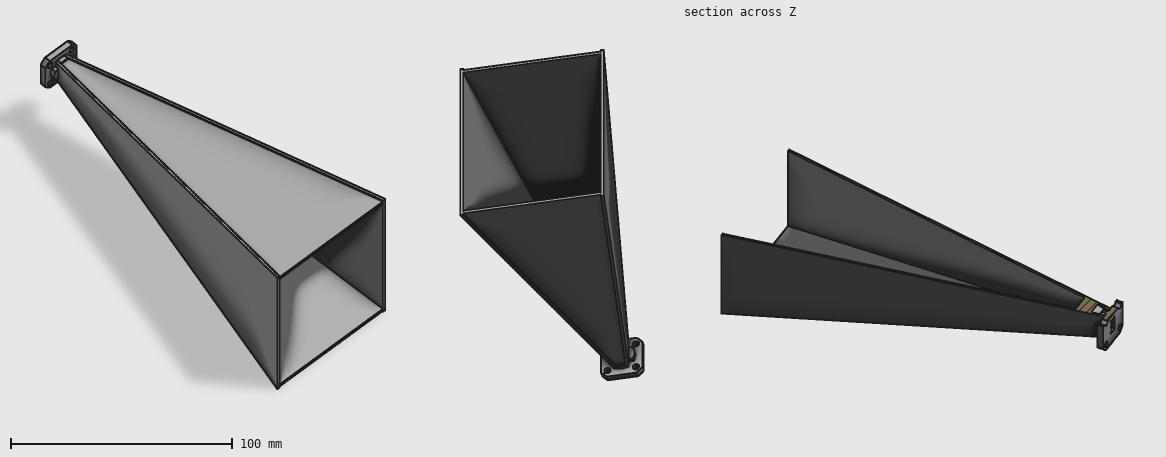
import cadquery as cq

length = 181.9
mouth_width = 66.5
mouth_height = 81.0

flange_size = 19.3
flange_thickness = 3.1
flange_round_diameter = 23.6
hole_diameter = 3.0
hole_spacing_y = 13.3
hole_spacing_z = 12.7

guide_width = 3.8
guide_height = 7.1

throat_width = 6.7
throat_height = 11.8
wall = 1.5
plate_recess = 0.7

pad_length = 2.4
boss_diameter = 13.0
side_pad_height = 6.2
middle_pad_width = 4.4

pad_end = flange_thickness + pad_length


def frustum(start_x, width_inset, height_inset):
    """Solid following the horn taper, inset on each side, from start_x to the mouth."""
    travel = (start_x - flange_thickness) / (length - flange_thickness)
    start_width = throat_width + travel * (mouth_width - throat_width)
    start_height = throat_height + travel * (mouth_height - throat_height)
    return (
        cq.Workplane("YZ", origin=(start_x, 0, 0))
        .rect(start_width - 2 * width_inset, start_height - 2 * height_inset)
        .workplane(offset=length - start_x)
        .rect(mouth_width - 2 * width_inset, mouth_height - 2 * height_inset)
        .loft(ruled=True)
    )


def make_flange():
    corner_disc = cq.Workplane("YZ").circle(flange_round_diameter / 2).extrude(flange_thickness)
    return (
        cq.Workplane("YZ")
        .rect(flange_size, flange_size)
        .extrude(flange_thickness)
        .intersect(corner_disc)
        .faces("<X")
        .workplane(origin=(0, 0, 0))
        .rect(hole_spacing_y, hole_spacing_z, forConstruction=True)
        .vertices()
        .hole(hole_diameter)
    )


def make_horn():
    side_plates = frustum(flange_thickness, 0, 0).cut(frustum(flange_thickness, wall, 0))
    cross_plates = frustum(pad_end, wall, plate_recess).cut(
        frustum(pad_end, wall, plate_recess + wall)
    )
    return side_plates.union(cross_plates)


def make_pads():
    plane = cq.Workplane("YZ", origin=(flange_thickness, 0, 0))
    side_bar = plane.rect(boss_diameter, side_pad_height).extrude(pad_length)
    middle_bar = plane.rect(middle_pad_width, boss_diameter).extrude(pad_length)
    boss = plane.circle(boss_diameter / 2).extrude(pad_length)
    return boss.intersect(side_bar.union(middle_bar))


guide_opening = cq.Workplane("YZ").rect(guide_width, guide_height).extrude(pad_end)

result = make_flange().union(make_pads()).union(make_horn()).cut(guide_opening)